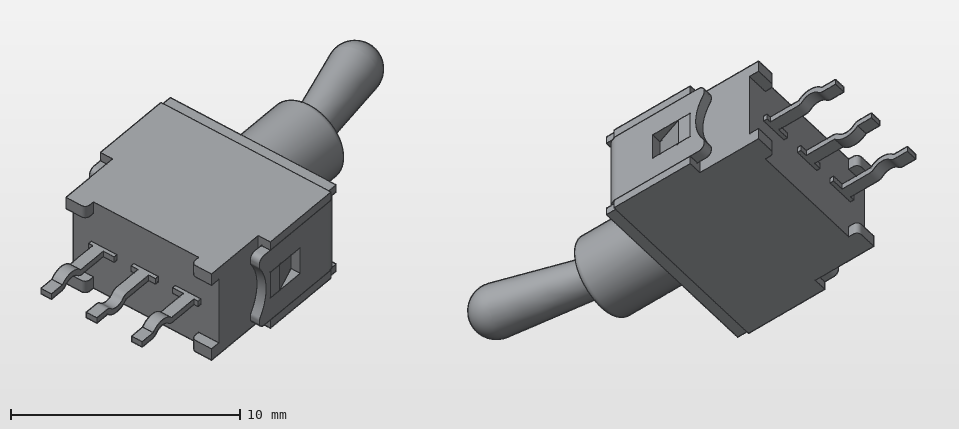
import cadquery as cq
import math


overall_length = 21.3

switch_width = 9.5
switch_height = 5.0
sheet = 0.51
plate_width = 9.27
bend_radius = 0.65
bend_relief = 0.06
leg_height = 4.05
leg_corner_radius = 0.32
leg_tip_flat = 0.13
leg_tip_y = -5.52
leg_notch_y = -5.05
window_front_y = -2.66
window_height = 1.5

bushing_radius = leg_height / 2
bushing_length = 3.98
bushing_rim_radius = 0.3
bushing_foot_radius = 0.25

shoulder_y = -4.75
rear_width = 8.14
housing_rear_y = -7.5
foot_length = 0.51
foot_width = 1.13
foot_height = 0.65
foot_edge_radius = 0.25
barb_flat_length = 0.64

lever_tilt = 13.0
knob_radius = 1.25
tip_y = 10.0
knob_x = -1.3
lever_taper = 3.9
bore_radius = 1.2
dome_height = 0.28

pin_pitch = 2.53
pin_width = 0.6
pin_thickness = 0.32
pin_end_y = tip_y - overall_length
pin_tab_length = 0.2
outer_tab_width = 1.43
outer_tab_shift = 0.2
middle_tab_width = 1.36
bump_center_y = -9.9
bump_half_length = 0.72
bump_rise = 0.32
bump_back_half_length = 0.64
bump_back_rise = 0.3
bump_crest_radius = 0.58


def block(x_range, y_range, z_range):
    """Axis-aligned box between pairs of limits."""
    size = [high - low for low, high in (x_range, y_range, z_range)]
    corner = (x_range[0], y_range[0], z_range[0])
    return cq.Workplane("XY").box(*size, centered=False).translate(corner)


def centered_block(width, y_range, height):
    """Box centred on the Y axis."""
    return block((-width / 2, width / 2), y_range, (-height / 2, height / 2))


def strip_inside(rear_y):
    """Block that fits between the legs and into their bends, from the plate back to rear_y."""
    inside = centered_block(switch_width - 2 * sheet, (rear_y, -sheet), leg_height)
    return inside.edges("|Z and >Y").fillet(bend_radius - sheet)


def bent_strip():
    """U-shaped strip: the middle of the plate and both legs, with rounded bends."""
    outer = centered_block(switch_width, (leg_tip_y, 0), leg_height)
    outer = outer.edges("|Z and >Y").fillet(bend_radius)
    return outer.cut(strip_inside(leg_tip_y))


def leg_outline():
    """Leg shape in the YZ plane: a hollow arc across the end between two round-cornered tips."""
    r = leg_corner_radius
    half = leg_height / 2
    corner_y = leg_tip_y + r
    corner_z = half - r
    inner_corner_z = corner_z - leg_tip_flat
    lead = leg_notch_y - corner_y
    hollow_radius = (inner_corner_z**2 + lead**2 - r**2) / (2 * (r + lead))
    hollow_center_y = leg_notch_y - hollow_radius
    share = r / (r + hollow_radius)
    tangent_y = corner_y + share * (hollow_center_y - corner_y)
    tangent_z = inner_corner_z * (1 - share)
    return (
        cq.Workplane("YZ")
        .moveTo(0, half)
        .lineTo(corner_y, half)
        .tangentArcPoint((leg_tip_y, corner_z), relative=False)
        .lineTo(leg_tip_y, inner_corner_z)
        .tangentArcPoint((tangent_y, tangent_z), relative=False)
        .threePointArc((leg_notch_y, 0), (tangent_y, -tangent_z))
        .tangentArcPoint((leg_tip_y, -inner_corner_z), relative=False)
        .lineTo(leg_tip_y, -corner_z)
        .tangentArcPoint((corner_y, -half), relative=False)
        .lineTo(0, -half)
        .close()
        .extrude(switch_width / 2, both=True)
    )


def make_bushing():
    """Round bushing with a rounded rim and a fillet where it meets the plate."""
    foot = bushing_foot_radius
    rim = bushing_rim_radius
    arc_dip = 1 - math.sqrt(0.5)
    return (
        cq.Workplane("XY")
        .moveTo(0, -sheet)
        .lineTo(bushing_radius + foot, -sheet)
        .lineTo(bushing_radius + foot, 0)
        .threePointArc((bushing_radius + foot * arc_dip, foot * arc_dip), (bushing_radius, foot))
        .lineTo(bushing_radius, bushing_length - rim)
        .threePointArc(
            (bushing_radius - rim * arc_dip, bushing_length - rim * arc_dip),
            (bushing_radius - rim, bushing_length),
        )
        .lineTo(0, bushing_length)
        .close()
        .revolve(360, (0, 0, 0), (0, 1, 0))
    )


def make_frame():
    """Plate, bent legs and bushing, with a window in each leg and a bore for the lever."""
    legs = bent_strip().intersect(leg_outline())
    window = centered_block(switch_width, (shoulder_y, window_front_y), window_height)
    strip_space = centered_block(switch_width, (-sheet, 0), leg_height)
    side_bands = centered_block(plate_width, (-sheet, 0), switch_height).cut(strip_space)
    relief = centered_block(switch_width, (-sheet, 0), leg_height + 2 * bend_relief)
    relief = relief.cut(centered_block(switch_width - 2 * bend_radius, (-sheet, 0), switch_height))
    side_bands = side_bands.cut(relief)
    bore = (
        cq.Workplane("XZ", origin=(0, bushing_length, 0))
        .circle(bore_radius)
        .extrude(bushing_length + sheet)
    )
    return legs.cut(window).union(side_bands).union(make_bushing()).cut(bore)


def make_barb():
    """Barb on the +X side: ramps up from the front edge of the leg window to a flat top."""
    outer_x = switch_width / 2
    inner_x = outer_x - sheet
    return (
        cq.Workplane("XY", origin=(0, 0, -window_height / 2))
        .moveTo(inner_x, window_front_y)
        .lineTo(outer_x, shoulder_y + barb_flat_length)
        .lineTo(outer_x, shoulder_y)
        .lineTo(inner_x, shoulder_y)
        .close()
        .extrude(window_height)
    )


def make_foot():
    """Standoff foot at the +X, +Z rear corner, rounded on its inner rear edge."""
    outer_x = rear_width / 2
    outer_z = switch_height / 2
    foot = block(
        (outer_x - foot_width, outer_x),
        (housing_rear_y - foot_length, housing_rear_y),
        (outer_z - foot_height, outer_z),
    )
    return foot.faces("<Y").edges("<X").fillet(foot_edge_radius)


def make_housing():
    """Stepped block, recessed for the frame legs, with two barbs and four feet."""
    front = centered_block(switch_width, (shoulder_y, -sheet), switch_height)
    leg_band = centered_block(switch_width, (shoulder_y, -sheet), leg_height)
    front = front.cut(leg_band).union(strip_inside(shoulder_y))
    rear = centered_block(rear_width, (housing_rear_y, shoulder_y), switch_height)
    barb = make_barb()
    upper_foot = make_foot()
    right_parts = barb.union(upper_foot).union(upper_foot.mirror("XY"))
    return front.union(rear).union(right_parts).union(right_parts.mirror("YZ"))


def make_lever():
    """Tapered lever with a round knob, tilted about a domed plug that fills the bore."""
    knob_y = tip_y - knob_radius
    tilt = math.radians(lever_tilt)
    arm_length = -knob_x / math.sin(tilt)
    pivot_y = knob_y - arm_length * math.cos(tilt)
    taper = math.radians(lever_taper)
    tangent_radius = knob_radius * math.cos(taper)
    tangent_height = arm_length - knob_radius * math.sin(taper)
    neck_radius = tangent_radius - tangent_height * math.tan(taper)
    arm = (
        cq.Workplane("XY")
        .lineTo(neck_radius, 0)
        .lineTo(tangent_radius, tangent_height)
        .tangentArcPoint((0, arm_length + knob_radius), relative=False)
        .close()
        .revolve(360, (0, 0, 0), (0, 1, 0))
        .rotate((0, 0, 0), (0, 0, 1), lever_tilt)
        .translate((0, pivot_y, 0))
    )
    dome_radius = (bore_radius**2 + dome_height**2) / (2 * dome_height)
    mid_radius = bore_radius / 2
    mid_y = bushing_length + dome_height - dome_radius + math.sqrt(dome_radius**2 - mid_radius**2)
    plug = (
        cq.Workplane("XY")
        .moveTo(0, -sheet)
        .lineTo(bore_radius, -sheet)
        .lineTo(bore_radius, bushing_length)
        .threePointArc((mid_radius, mid_y), (0, bushing_length + dome_height))
        .close()
        .revolve(360, (0, 0, 0), (0, 1, 0))
    )
    return arm.union(plug)


def make_pin(x, tab_x, tab_width, bump_side):
    """Flat pin with a wide tab at the housing and a snap-in bump toward +Z or -Z."""
    low = -pin_thickness / 2
    high = pin_thickness / 2
    start_y = bump_center_y + bump_half_length
    stop_y = bump_center_y - bump_half_length
    blend_angle = 2 * math.atan(bump_rise / bump_half_length)
    blend_radius = bump_half_length / math.sin(blend_angle) - bump_crest_radius
    join_y = bump_crest_radius * math.sin(blend_angle)
    join_z = low + blend_radius * (1 - math.cos(blend_angle))
    blend_y = bump_half_length - blend_radius * math.sin(blend_angle / 2)
    blend_z = low + blend_radius * (1 - math.cos(blend_angle / 2))
    stem = (
        cq.Workplane("YZ")
        .moveTo(housing_rear_y, high)
        .lineTo(bump_center_y + bump_back_half_length, high)
        .threePointArc(
            (bump_center_y, high + bump_back_rise),
            (bump_center_y - bump_back_half_length, high),
        )
        .lineTo(pin_end_y, high)
        .lineTo(pin_end_y, low)
        .lineTo(stop_y, low)
        .threePointArc((bump_center_y - blend_y, blend_z), (bump_center_y - join_y, join_z))
        .threePointArc((bump_center_y, low + bump_rise), (bump_center_y + join_y, join_z))
        .threePointArc((bump_center_y + blend_y, blend_z), (start_y, low))
        .lineTo(housing_rear_y, low)
        .close()
        .extrude(pin_width / 2, both=True)
        .translate((x, 0, 0))
    )
    if bump_side < 0:
        stem = stem.mirror("XY")
    tab = centered_block(tab_width, (housing_rear_y - pin_tab_length, housing_rear_y), pin_thickness)
    return stem.union(tab.translate((tab_x, 0, 0)))


frame = make_frame()
housing = make_housing()
lever = make_lever()

pins = [make_pin(0, 0, middle_tab_width, -1)]
for side in (-1, 1):
    pin_x = side * pin_pitch
    tab_center_x = side * (pin_pitch - outer_tab_shift)
    pins.append(make_pin(pin_x, tab_center_x, outer_tab_width, 1))

result = cq.Compound.makeCompound(
    [frame.val(), housing.val(), lever.val(), *[pin.val() for pin in pins]]
)